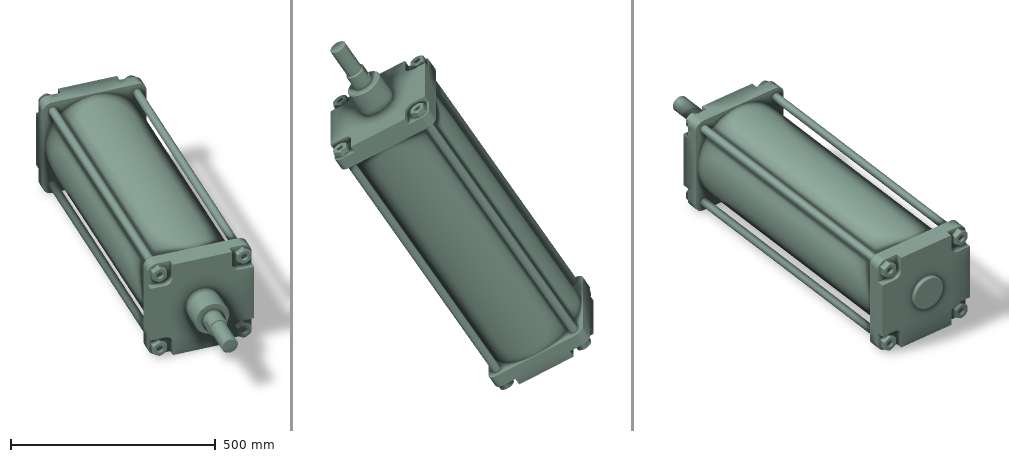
import cadquery as cq
import math

total_length = 1001.0
rear_spigot_length = 11.0
cover_thickness = 50.0
barrel_length = 698.0
front_boss_length = 69.0
rod_shank_length = 42.0

rear_cover_face = rear_spigot_length
barrel_start = rear_cover_face + cover_thickness
barrel_end = barrel_start + barrel_length
front_cover_face = barrel_end + cover_thickness
front_boss_face = front_cover_face + front_boss_length
rod_shoulder = front_boss_face + rod_shank_length

cover_width = 270.0
cover_corner_radius = 23.0
pocket_size = 58.0
pocket_depth = 18.0
pocket_corner_radius = 21.0
boss_diameter = 90.0
boss_chamfer = 2.0

barrel_diameter = 260.0

rod_diameter = 51.0
rod_chamfer = 2.0
thread_diameter = 42.0
width_across_flats = 45.0
flat_length = 26.0

tie_rod_offset = 110.0
tie_rod_diameter = 21.0
nut_across_flats = 36.0
nut_height = 17.0
nut_chamfer_angle = 30.0
nut_sides = 6
socket_diameter = 17.0
socket_depth = 9.0
socket_chamfer = 1.0

tie_rod_positions = [
    (side_y * tie_rod_offset, side_z * tie_rod_offset) for side_y in (-1, 1) for side_z in (-1, 1)
]


def plane_at(x):
    """Workplane facing +X, with local axes along Y and Z."""
    return cq.Workplane("YZ", origin=(x, 0, 0))


def cover_plate():
    """Square plate with its outer face at X = 0 and its inner face at X = cover_thickness."""
    plate = plane_at(0).rect(cover_width, cover_width).extrude(cover_thickness)
    plate = plate.edges("|X").fillet(cover_corner_radius)
    corner = cover_width / 2
    for side_y in (-1, 1):
        for side_z in (-1, 1):
            pocket = (
                plane_at(0)
                .center(side_y * corner, side_z * corner)
                .rect(2 * pocket_size, 2 * pocket_size)
                .extrude(pocket_depth)
                .edges("|X")
                .fillet(pocket_corner_radius)
            )
            plate = plate.cut(pocket)
    tie_rod_holes = plane_at(0).pushPoints(tie_rod_positions).circle(tie_rod_diameter / 2)
    return plate.cut(tie_rod_holes.extrude(cover_thickness))


def chamfered_boss(length):
    """Round boss along +X from X = 0, chamfered at its free end."""
    return plane_at(0).circle(boss_diameter / 2).extrude(length).faces(">X").chamfer(boss_chamfer)


def make_rear_cover():
    spigot = chamfered_boss(rear_spigot_length).mirror("YZ")
    return cover_plate().union(spigot).translate((rear_cover_face, 0, 0))


def make_front_cover():
    boss = chamfered_boss(front_boss_length)
    return cover_plate().mirror("YZ").union(boss).translate((front_cover_face, 0, 0))


def make_barrel():
    return plane_at(barrel_start).circle(barrel_diameter / 2).extrude(barrel_length)


def make_piston_rod():
    """Rod shank with two wrench flats, followed by the threaded end."""
    shank = plane_at(front_boss_face).circle(rod_diameter / 2).extrude(rod_shank_length)
    shank = shank.faces(">X").chamfer(rod_chamfer)
    flat_start = plane_at(rod_shoulder - flat_length)
    flat_zone = flat_start.rect(2 * rod_diameter, 2 * rod_diameter).extrude(flat_length)
    between_flats = flat_start.rect(width_across_flats, 2 * rod_diameter).extrude(flat_length)
    shank = shank.cut(flat_zone.cut(between_flats))
    thread = plane_at(rod_shoulder).circle(thread_diameter / 2).extrude(total_length - rod_shoulder)
    return shank.union(thread.faces(">X").chamfer(rod_chamfer))


def make_nut():
    """Hexagon nut along +X from X = 0, with corners pointing along Z and a socket in its end."""
    nut_inner_radius = nut_across_flats / 2
    corner_radius = nut_inner_radius / math.cos(math.pi / nut_sides)
    chamfer_inset = corner_radius - nut_inner_radius
    chamfer_height = chamfer_inset * math.tan(math.radians(nut_chamfer_angle))
    hexagon = plane_at(0).transformed(rotate=(0, 0, 90)).polygon(nut_sides, 2 * corner_radius)
    rounded_blank = (
        plane_at(0)
        .circle(corner_radius)
        .extrude(nut_height)
        .faces(">X")
        .chamfer(chamfer_height, chamfer_inset)
    )
    socket = plane_at(nut_height).circle(socket_diameter / 2).extrude(-socket_depth)
    countersink = cq.Workplane(
        cq.Solid.makeCone(
            socket_diameter / 2,
            socket_diameter / 2 + socket_chamfer,
            socket_chamfer,
            pnt=cq.Vector(nut_height - socket_chamfer, 0, 0),
            dir=cq.Vector(1, 0, 0),
        )
    )
    return hexagon.extrude(nut_height).intersect(rounded_blank).cut(socket).cut(countersink)


def make_tie_rod(y, z):
    start = rear_cover_face + pocket_depth
    end = front_cover_face - pocket_depth
    rod = plane_at(start).circle(tie_rod_diameter / 2).extrude(end - start)
    rear_nut = make_nut().mirror("YZ").translate((start, 0, 0))
    front_nut = make_nut().translate((end, 0, 0))
    return rod.union(rear_nut).union(front_nut).translate((0, y, z))


rear_cover = make_rear_cover()
front_cover = make_front_cover()
barrel = make_barrel()
piston_rod = make_piston_rod()
tie_rods = [make_tie_rod(y, z) for y, z in tie_rod_positions]

result = cq.Compound.makeCompound(
    [
        rear_cover.val(),
        front_cover.val(),
        barrel.val(),
        piston_rod.val(),
        *[tie_rod.val() for tie_rod in tie_rods],
    ]
)